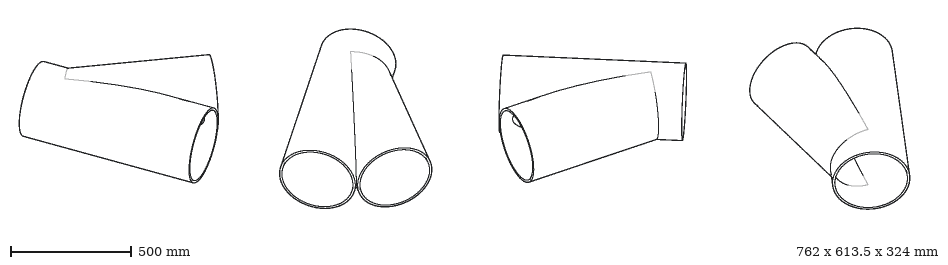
import cadquery as cq
import math

run_length = 762.0
outer_diameter = 324.0
inner_diameter = 303.0
branch_angle = 30.0
branch_start = 139.5
branch_length = 622.5

branch_direction = cq.Vector(
    math.cos(math.radians(branch_angle)),
    math.sin(math.radians(branch_angle)),
    0,
)
axes_meet = cq.Vector(branch_start, 0, 0)


def run_cylinder(diameter):
    """Cylinder along +X over the full length of the run."""
    return cq.Workplane("YZ").circle(diameter / 2).extrude(run_length)


def branch_cylinder(diameter):
    """Slanted cylinder, mitred on the -X side where it meets the run."""
    overlap = outer_diameter
    start = axes_meet - branch_direction * overlap
    plane = cq.Plane(origin=start, xDir=(0, 0, 1), normal=branch_direction)
    cylinder = cq.Workplane(plane).circle(diameter / 2).extrude(overlap + branch_length)

    mitre_normal = (
        math.cos(math.radians(branch_angle / 2)),
        math.sin(math.radians(branch_angle / 2)),
        0,
    )
    mitre_plane = cq.Plane(origin=axes_meet, xDir=(0, 0, 1), normal=mitre_normal)
    keep_size = 4 * run_length
    keep = cq.Workplane(mitre_plane).rect(keep_size, keep_size).extrude(keep_size)
    return cylinder.intersect(keep)


body = run_cylinder(outer_diameter).union(branch_cylinder(outer_diameter))
bores = run_cylinder(inner_diameter).union(branch_cylinder(inner_diameter))
result = body.cut(bores)